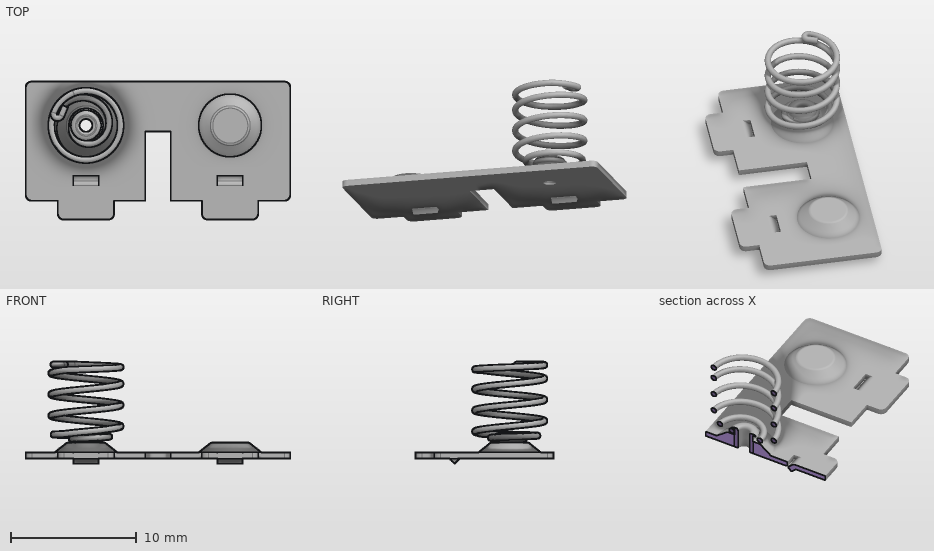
import cadquery as cq
import math


SHEET = 0.5
PLATE_WIDTH = 21.06
PLATE_DEPTH = 9.5
PLATE_BACK_Y = 3.5
PLATE_FRONT_Y = PLATE_BACK_Y - PLATE_DEPTH
CORNER_RADIUS = 0.5
CONTACT_X = 5.73
TONGUE_WIDTH = 4.5
TONGUE_LENGTH = 1.5
NOTCH_WIDTH = 2.0
NOTCH_DEPTH = 5.5

DOME_BASE_RADIUS = 2.5
DOME_TOP_RADIUS = 1.5
DOME_HEIGHT = 0.8
DOME_EDGE_FILLET = 0.3
DOME_TOP_Z = SHEET + DOME_HEIGHT

PRONG_WIDTH = 2.0
PRONG_DROP = 0.4
PRONG_ANGLE = math.radians(45)
PRONG_BEND_Y = -4.77
PRONG_RUN = PRONG_DROP / math.tan(PRONG_ANGLE)
PRONG_SLOT_LENGTH = PRONG_RUN + SHEET * math.sin(PRONG_ANGLE)

EYELET_BORE_RADIUS = 0.5
EYELET_NECK_RADIUS = 0.85
EYELET_HEAD_Z = 2.05
EYELET_LIP = 0.20
EYELET_MOUTH_RADIUS = 0.25
EYELET_ROLL_RADIUS = 0.42

WIRE_RADIUS = 0.25
COIL_RADIUS = 2.75
SEAT_CLEARANCE = 0.01
INNER_COIL_RADIUS = EYELET_NECK_RADIUS + WIRE_RADIUS + SEAT_CLEARANCE
SPRING_START_Z = DOME_TOP_Z + WIRE_RADIUS + SEAT_CLEARANCE
SPRING_END_Z = 7.49
SEAT_ARC = 225.0
SPIRAL_START_ANGLE = -180.0
SEAT_START_ANGLE = SPIRAL_START_ANGLE - SEAT_ARC
COIL_START_ANGLE = 229.0
ACTIVE_TURNS = 3
COIL_END_ANGLE = COIL_START_ANGLE + 360 * ACTIVE_TURNS
CLOSING_ARC = 242.0
FLAT_START_ANGLE = COIL_END_ANGLE + CLOSING_ARC
FLAT_ARC = 47.0
SPIRAL_RISE = 0.41
CLOSING_RISE = 0.46
COIL_START_Z = SPRING_START_Z + SPIRAL_RISE
COIL_END_Z = SPRING_END_Z - CLOSING_RISE
PATH_STEP = 15.0
HOOK_BEND_RADIUS = 0.32
HOOK_TAIL = 0.8


def plate_sheet():
    """Flat sheet with two front tongues and the notch between them."""
    sheet = (
        cq.Workplane("XY")
        .center(0, PLATE_BACK_Y - PLATE_DEPTH / 2)
        .rect(PLATE_WIDTH, PLATE_DEPTH)
        .extrude(SHEET)
        .edges("|Z")
        .fillet(CORNER_RADIUS)
    )
    for x in (-CONTACT_X, CONTACT_X):
        tongue = (
            cq.Workplane("XY")
            .center(x, PLATE_FRONT_Y)
            .rect(TONGUE_WIDTH, 2 * TONGUE_LENGTH)
            .extrude(SHEET)
            .edges("|Z and <Y")
            .fillet(CORNER_RADIUS)
        )
        sheet = sheet.union(tongue)
    notch = (
        cq.Workplane("XY")
        .center(0, PLATE_FRONT_Y)
        .rect(NOTCH_WIDTH, 2 * NOTCH_DEPTH)
        .extrude(SHEET)
    )
    return sheet.cut(notch)


def dome(x):
    """Truncated cone with a rounded upper edge."""
    return (
        cq.Workplane("XZ", origin=(x, 0, 0))
        .polyline([
            (0, 0),
            (DOME_BASE_RADIUS, 0),
            (DOME_BASE_RADIUS, SHEET),
            (DOME_TOP_RADIUS, DOME_TOP_Z),
            (0, DOME_TOP_Z),
        ])
        .close()
        .revolve(360, (0, 0, 0), (0, 1, 0))
        .faces(">Z")
        .edges()
        .fillet(DOME_EDGE_FILLET)
    )


def prong_slot(x):
    """Opening left in the sheet by a prong."""
    return (
        cq.Workplane("XY")
        .center(x, PRONG_BEND_Y + PRONG_SLOT_LENGTH / 2)
        .rect(PRONG_WIDTH, PRONG_SLOT_LENGTH)
        .extrude(SHEET)
    )


def prong(x):
    """Strip of sheet bent down about the plate underside, square at its tip."""
    def on_bend(angle):
        return (PRONG_BEND_Y + SHEET * math.sin(angle), SHEET * math.cos(angle))

    bend_end = on_bend(PRONG_ANGLE)
    return (
        cq.Workplane("YZ", origin=(x - PRONG_WIDTH / 2, 0, 0))
        .moveTo(PRONG_BEND_Y, 0)
        .lineTo(*on_bend(0))
        .threePointArc(on_bend(PRONG_ANGLE / 2), bend_end)
        .lineTo(bend_end[0] + PRONG_RUN, bend_end[1] - PRONG_DROP)
        .lineTo(PRONG_BEND_Y + PRONG_RUN, -PRONG_DROP)
        .close()
        .extrude(PRONG_WIDTH)
    )


def make_plate():
    plate = plate_sheet()
    for x in (-CONTACT_X, CONTACT_X):
        plate = plate.union(dome(x)).cut(prong_slot(x)).union(prong(x))
    eyelet_hole = (
        cq.Workplane("XY")
        .center(-CONTACT_X, 0)
        .circle(EYELET_NECK_RADIUS)
        .extrude(DOME_TOP_Z)
    )
    return plate.cut(eyelet_hole)


def make_eyelet():
    """Hollow rivet whose rolled head overhangs the innermost coil of the spring."""
    lip_z = EYELET_HEAD_Z - EYELET_LIP
    roll_centre_z = EYELET_HEAD_Z - EYELET_ROLL_RADIUS
    mouth_centre_r = EYELET_BORE_RADIUS + EYELET_MOUTH_RADIUS
    mouth_centre_z = EYELET_HEAD_Z - EYELET_MOUTH_RADIUS
    lip_angle = math.asin((lip_z - roll_centre_z) / EYELET_ROLL_RADIUS)

    def on_roll(angle):
        return (
            EYELET_NECK_RADIUS + EYELET_ROLL_RADIUS * math.cos(angle),
            roll_centre_z + EYELET_ROLL_RADIUS * math.sin(angle),
        )

    mouth_middle = (
        mouth_centre_r - EYELET_MOUTH_RADIUS * math.cos(math.pi / 4),
        mouth_centre_z + EYELET_MOUTH_RADIUS * math.sin(math.pi / 4),
    )
    return (
        cq.Workplane("XZ", origin=(-CONTACT_X, 0, 0))
        .moveTo(EYELET_BORE_RADIUS, 0)
        .lineTo(EYELET_NECK_RADIUS, 0)
        .lineTo(EYELET_NECK_RADIUS, lip_z)
        .lineTo(*on_roll(lip_angle))
        .threePointArc(on_roll((lip_angle + math.pi / 2) / 2), on_roll(math.pi / 2))
        .lineTo(mouth_centre_r, EYELET_HEAD_Z)
        .threePointArc(mouth_middle, (EYELET_BORE_RADIUS, mouth_centre_z))
        .close()
        .revolve(360, (0, 0, 0), (0, 1, 0))
    )


def polar(radius, angle, z):
    """Point at a polar position about the spring axis, angle in degrees."""
    turn = math.radians(angle)
    return cq.Vector(-CONTACT_X + radius * math.cos(turn), radius * math.sin(turn), z)


def direction(angle):
    """Level unit vector at an angle in degrees."""
    turn = math.radians(angle)
    return cq.Vector(math.cos(turn), math.sin(turn), 0)


def sweep_wire(path, start, heading):
    """Round wire along a path that leaves a start point with the given heading."""
    section = cq.Plane(origin=start, normal=heading)
    return cq.Workplane(section).circle(WIRE_RADIUS).sweep(path, isFrenet=True)


def make_coil():
    """Seat wrap, opening spiral, active turns and closing coil, with linear radius and rise in each."""
    ends = [
        (INNER_COIL_RADIUS, SEAT_START_ANGLE, SPRING_START_Z),
        (INNER_COIL_RADIUS, SPIRAL_START_ANGLE, SPRING_START_Z),
        (COIL_RADIUS, COIL_START_ANGLE, COIL_START_Z),
        (COIL_RADIUS, COIL_END_ANGLE, COIL_END_Z),
        (COIL_RADIUS, FLAT_START_ANGLE, SPRING_END_Z),
    ]
    points = [polar(*ends[0])]
    for start, end in zip(ends, ends[1:]):
        steps = math.ceil((end[1] - start[1]) / PATH_STEP)
        for i in range(1, steps + 1):
            points.append(polar(*(a + (b - a) * i / steps for a, b in zip(start, end))))

    start_heading = direction(SEAT_START_ANGLE + 90)
    end_heading = direction(FLAT_START_ANGLE + 90)
    path = cq.Edge.makeSpline(points, tangents=[start_heading, end_heading], scale=False)
    return sweep_wire(cq.Wire.assembleEdges([path]), points[0], start_heading)


def make_hook():
    """Level arc, then a half-turn towards the axis and a short straight tail."""
    hook_angle = FLAT_START_ANGLE + FLAT_ARC
    arc_start = polar(COIL_RADIUS, FLAT_START_ANGLE, SPRING_END_Z)
    arc_middle = polar(COIL_RADIUS, FLAT_START_ANGLE + FLAT_ARC / 2, SPRING_END_Z)
    bend_start = polar(COIL_RADIUS, hook_angle, SPRING_END_Z)
    bend_centre = polar(COIL_RADIUS - HOOK_BEND_RADIUS, hook_angle, SPRING_END_Z)
    bend_end = polar(COIL_RADIUS - 2 * HOOK_BEND_RADIUS, hook_angle, SPRING_END_Z)
    forward = direction(hook_angle + 90)
    path = cq.Wire.assembleEdges([
        cq.Edge.makeThreePointArc(arc_start, arc_middle, bend_start),
        cq.Edge.makeThreePointArc(bend_start, bend_centre + forward * HOOK_BEND_RADIUS, bend_end),
        cq.Edge.makeLine(bend_end, bend_end - forward * HOOK_TAIL),
    ])
    return sweep_wire(path, arc_start, direction(FLAT_START_ANGLE + 90))


plate = make_plate()
eyelet = make_eyelet()
spring = make_coil().union(make_hook())

result = cq.Compound.makeCompound([plate.val(), eyelet.val(), spring.val()])